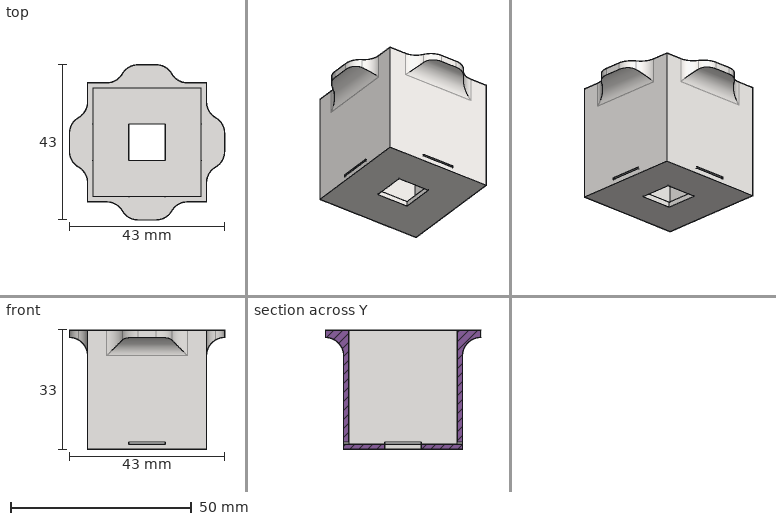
import cadquery as cq
import math

overall_width = 43.0
box_side = 33.0
wall = 1.5
floor_thickness = 1.5
cavity_side = box_side - 2 * wall

opening_side = 10.0
slot_height = 0.5
slot_bottom = floor_thickness

lip_reach = (overall_width - box_side) / 2
lip_edge_thickness = 2.0
lip_tip_width = 5.0
flank_turn = math.radians(60)
flank_radius = lip_reach / (2 * (1 - math.cos(flank_turn)))
underside_radius = lip_reach


def make_box():
    outer = cq.Workplane("XY").box(box_side, box_side, box_side, centered=(True, True, False))
    cavity = (
        cq.Workplane("XY")
        .workplane(offset=floor_thickness)
        .rect(cavity_side, cavity_side)
        .extrude(box_side - floor_thickness)
    )
    return outer.cut(cavity)


def make_lip():
    """Lip on the +X wall: wavy outline trimmed by a concave underside."""
    wall_face = box_side / 2
    tip = overall_width / 2
    root = wall_face - wall
    lip_height = lip_edge_thickness + underside_radius

    tip_half = lip_tip_width / 2
    arc_run = flank_radius * math.sin(flank_turn)
    base_half = tip_half + 2 * arc_run
    bend_middle = (wall_face + tip) / 2
    half_turn_run = flank_radius * math.sin(flank_turn / 2)
    half_turn_rise = flank_radius * (1 - math.cos(flank_turn / 2))
    concave_x = wall_face + half_turn_rise
    concave_y = base_half - half_turn_run
    convex_x = tip - half_turn_rise
    convex_y = tip_half + half_turn_run
    bend_y = tip_half + arc_run

    outline = (
        cq.Workplane("XY")
        .workplane(offset=box_side - lip_height)
        .moveTo(root, -base_half)
        .lineTo(wall_face, -base_half)
        .threePointArc((concave_x, -concave_y), (bend_middle, -bend_y))
        .threePointArc((convex_x, -convex_y), (tip, -tip_half))
        .lineTo(tip, tip_half)
        .threePointArc((convex_x, convex_y), (bend_middle, bend_y))
        .threePointArc((concave_x, concave_y), (wall_face, base_half))
        .lineTo(root, base_half)
        .close()
        .extrude(lip_height)
    )

    arc_diagonal = underside_radius * math.sqrt(0.5)
    edge_bottom = box_side - lip_edge_thickness
    profile = (
        cq.Workplane("XZ")
        .moveTo(root, box_side)
        .lineTo(tip, box_side)
        .lineTo(tip, edge_bottom)
        .threePointArc(
            (tip - arc_diagonal, edge_bottom - underside_radius + arc_diagonal),
            (wall_face, box_side - lip_height),
        )
        .lineTo(root, box_side - lip_height)
        .close()
        .extrude(base_half, both=True)
    )
    return outline.intersect(profile)


result = make_box()

lip = make_lip()
for quarter in range(4):
    result = result.union(lip.rotate((0, 0, 0), (0, 0, 1), 90 * quarter))

floor_opening = cq.Workplane("XY").rect(opening_side, opening_side).extrude(floor_thickness)
result = result.cut(floor_opening)

slot_sizes = [(opening_side, box_side), (box_side, opening_side)]
for size_x, size_y in slot_sizes:
    slots = cq.Workplane("XY").workplane(offset=slot_bottom).rect(size_x, size_y).extrude(slot_height)
    result = result.cut(slots)